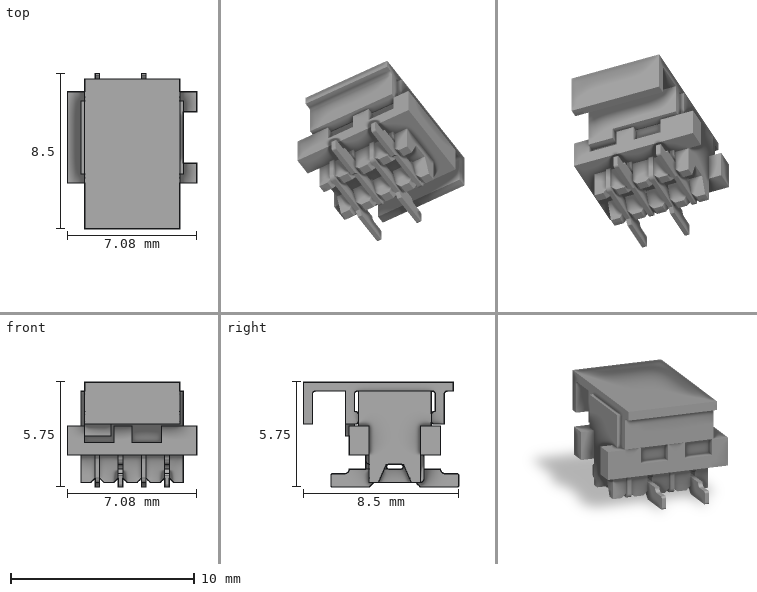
import cadquery as cq

TOTAL_LENGTH = 8.5
TOTAL_WIDTH = 7.08
TOTAL_HEIGHT = 5.75

FOOT_REACH = 3.5
TERMINAL_COUNT = 4
TERMINAL_PITCH = 1.27
TERMINAL_WIDTH = 0.255
BAR_TOP = 0.995
SLOT_HEIGHT = 0.255
SLOT_END = 0.45
STEP_RADIUS = 0.25
BEND_RADIUS = 0.25
TIP_RADIUS = 0.12
BODY_HALF_DEPTH = 1.6
ARM_TOP = 1.845

BASE_BOTTOM = 0.25
BLOCK_BOTTOM = 1.75
BLOCK_HEIGHT = 1.6
BLOCK_DEPTH = 5.0
WALL_WIDTH = 5.6
WALL_DEPTH = 3.995
BASE_DEPTH = 2.805
GROOVE_CHAMFER = 0.25
NOTCH_TOP_WIDTH = 0.935
NOTCH_BOTTOM_WIDTH = 1.8
KEY_SLOT_WIDTH = 1.6
KEY_SLOT_PITCH = 2.6
KEY_SLOT_DEPTH = 0.9

COVER_WIDTH = 5.2
PLATE_THICKNESS = 0.5
LEG_THICKNESS = 0.5
LEG_LENGTH = 1.8
REAR_REACH = 3.2
GRIP_GAP = 0.2
GRIP_HEIGHT = 0.7
COVER_RADIUS = 0.15
TAB_WIDTH = 1.45
TAB_DROP = 0.65

COVER_FRONT = FOOT_REACH - TOTAL_LENGTH
BLOCK_TOP = BLOCK_BOTTOM + BLOCK_HEIGHT
PLATE_BOTTOM = TOTAL_HEIGHT - PLATE_THICKNESS
LEG_BOTTOM = PLATE_BOTTOM - LEG_LENGTH
GRIP_TOP = LEG_BOTTOM + GRIP_HEIGHT
SLOT_TOP = BAR_TOP + SLOT_HEIGHT
TERMINAL_XS = [(i - (TERMINAL_COUNT - 1) / 2) * TERMINAL_PITCH for i in range(TERMINAL_COUNT)]


def box(x_range, y_range, z_range):
    """Axis-aligned box given by its lower and upper limits."""
    size = [upper - lower for lower, upper in (x_range, y_range, z_range)]
    corner = (x_range[0], y_range[0], z_range[0])
    return cq.Workplane("XY").box(*size, centered=False).translate(corner)


def centered(width):
    """Limits of a length centred on zero."""
    return (-width / 2, width / 2)


def round_corners(body, corners, radius):
    """Fillet the X-parallel edges at the given (y, z) corners of a body centred on X = 0."""
    for y, z in corners:
        edge = cq.selectors.NearestToPointSelector((0, y, z))
        body = body.edges("|X").edges(edge).fillet(radius)
    return body


def make_terminal(x, faces_rear):
    """C-shaped terminal whose foot points to +Y if faces_rear, otherwise to -Y."""
    foot_top = BAR_TOP - STEP_RADIUS
    step_start = BLOCK_DEPTH / 2
    step_end = step_start + STEP_RADIUS
    step_middle = STEP_RADIUS * (1 - 0.5 ** 0.5)
    heel = BASE_DEPTH / 2
    slot_radius = SLOT_HEIGHT / 2
    slot_arc_start = slot_radius - SLOT_END
    profile = (
        cq.Workplane("YZ")
        .moveTo(-BODY_HALF_DEPTH, BASE_BOTTOM)
        .lineTo(heel - BASE_BOTTOM, BASE_BOTTOM)
        .lineTo(heel, 0)
        .lineTo(FOOT_REACH, 0)
        .lineTo(FOOT_REACH, foot_top)
        .lineTo(step_end, foot_top)
        .threePointArc((step_start + step_middle, foot_top + step_middle), (step_start, BAR_TOP))
        .lineTo(slot_arc_start, BAR_TOP)
        .threePointArc((-SLOT_END, BAR_TOP + slot_radius), (slot_arc_start, SLOT_TOP))
        .lineTo(BODY_HALF_DEPTH, SLOT_TOP)
        .lineTo(BODY_HALF_DEPTH, ARM_TOP)
        .lineTo(-BODY_HALF_DEPTH, ARM_TOP)
        .close()
    )
    terminal = profile.extrude(TERMINAL_WIDTH / 2, both=True)
    bends = [
        (-BODY_HALF_DEPTH, BASE_BOTTOM),
        (-BODY_HALF_DEPTH, ARM_TOP),
        (BODY_HALF_DEPTH, SLOT_TOP),
    ]
    terminal = round_corners(terminal, bends, BEND_RADIUS)
    terminal = round_corners(terminal, [(FOOT_REACH, 0), (FOOT_REACH, foot_top)], TIP_RADIUS)
    if not faces_rear:
        terminal = terminal.rotate((0, 0, 0), (0, 0, 1), 180)
    return terminal.translate((x, 0, 0))


def cut_base_notch(base):
    """Trapezoidal notch through the base along X."""
    notch = (
        cq.Workplane("YZ")
        .polyline([
            (-NOTCH_BOTTOM_WIDTH / 2, BASE_BOTTOM),
            (NOTCH_BOTTOM_WIDTH / 2, BASE_BOTTOM),
            (NOTCH_TOP_WIDTH / 2, SLOT_TOP),
            (-NOTCH_TOP_WIDTH / 2, SLOT_TOP),
        ])
        .close()
        .extrude(WALL_WIDTH / 2, both=True)
    )
    return base.cut(notch)


def cut_terminal_grooves(base):
    """Groove with a chamfered mouth across the base for each terminal."""
    half_width = TERMINAL_WIDTH / 2
    mouth = half_width + GROOVE_CHAMFER
    chamfer_top = BASE_BOTTOM + GROOVE_CHAMFER
    for x in TERMINAL_XS:
        groove = (
            cq.Workplane("XZ")
            .polyline([
                (x - mouth, BASE_BOTTOM),
                (x + mouth, BASE_BOTTOM),
                (x + half_width, chamfer_top),
                (x + half_width, BLOCK_BOTTOM),
                (x - half_width, BLOCK_BOTTOM),
                (x - half_width, chamfer_top),
            ])
            .close()
            .extrude(BASE_DEPTH / 2, both=True)
        )
        base = base.cut(groove)
    return base


def cut_key_slots(block):
    """Two slots in the front of the block and two in the rear, reaching in to the wall."""
    front = (-BLOCK_DEPTH / 2, -WALL_DEPTH / 2)
    rear = (WALL_DEPTH / 2, BLOCK_DEPTH / 2)
    slot_heights = (BLOCK_TOP - KEY_SLOT_DEPTH, BLOCK_TOP)
    for x in (-KEY_SLOT_PITCH, 0):
        for y_range in (front, rear):
            block = block.cut(box((x, x + KEY_SLOT_WIDTH), y_range, slot_heights))
    return block


def make_housing(terminals):
    """Block with a wall above, a base below and recesses for the terminals."""
    block = box(centered(TOTAL_WIDTH), centered(BLOCK_DEPTH), (BLOCK_BOTTOM, BLOCK_TOP))
    side_gap = box(
        (WALL_WIDTH / 2, TOTAL_WIDTH / 2),
        centered(BASE_DEPTH),
        (BLOCK_BOTTOM, BLOCK_TOP),
    )
    block = cut_key_slots(block.cut(side_gap))
    wall = box(centered(WALL_WIDTH), centered(WALL_DEPTH), (BLOCK_TOP, PLATE_BOTTOM))
    base = box(centered(WALL_WIDTH), centered(BASE_DEPTH), (BASE_BOTTOM, BLOCK_BOTTOM))
    base = cut_terminal_grooves(cut_base_notch(base))
    housing = block.union(wall).union(base)
    for terminal in terminals:
        housing = housing.cut(terminal)
    return housing


def make_cover():
    """Flat plate with a front leg, two legs that grip the wall and a keying tab."""
    width = centered(COVER_WIDTH)
    grip = WALL_DEPTH / 2
    leg_inner = grip + GRIP_GAP
    leg_outer = leg_inner + LEG_THICKNESS
    front_leg_inner = COVER_FRONT + LEG_THICKNESS
    leg_range = (LEG_BOTTOM, PLATE_BOTTOM)
    grip_range = (LEG_BOTTOM, GRIP_TOP)

    cover = box(width, (COVER_FRONT, REAR_REACH), (PLATE_BOTTOM, TOTAL_HEIGHT))
    cover = cover.union(box(width, (COVER_FRONT, front_leg_inner), leg_range))
    cover = cover.union(box(width, (leg_inner, leg_outer), leg_range))
    cover = cover.union(box(width, (grip, leg_inner), grip_range))
    cover = cover.union(box(width, (-leg_outer, -leg_inner), leg_range))
    cover = cover.union(box(width, (-leg_inner, -grip), grip_range))

    rounded_corners = [
        (front_leg_inner, PLATE_BOTTOM),
        (-leg_inner, PLATE_BOTTOM),
        (leg_inner, PLATE_BOTTOM),
        (leg_outer, PLATE_BOTTOM),
        (-grip, LEG_BOTTOM),
        (-grip, GRIP_TOP),
        (grip, LEG_BOTTOM),
        (grip, GRIP_TOP),
    ]
    cover = round_corners(cover, rounded_corners, COVER_RADIUS)

    tab = box(
        (-COVER_WIDTH / 2, TAB_WIDTH - COVER_WIDTH / 2),
        (-leg_outer, -leg_inner),
        (LEG_BOTTOM - TAB_DROP, LEG_BOTTOM),
    )
    return cover.union(tab)


terminals = [make_terminal(x, faces_rear=i % 2 == 0) for i, x in enumerate(TERMINAL_XS)]
housing = make_housing(terminals)
cover = make_cover()

result = cq.Compound.makeCompound([
    housing.solids().val(),
    cover.solids().val(),
    *[terminal.solids().val() for terminal in terminals],
])